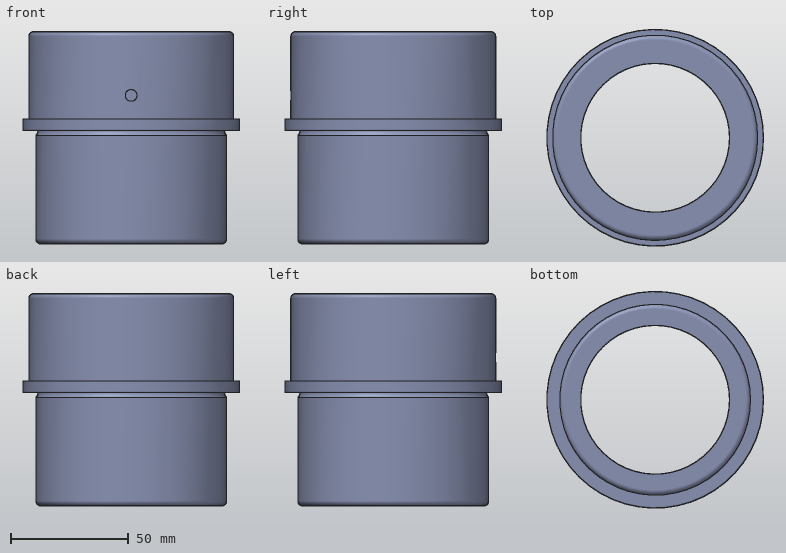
import cadquery as cq

height = 90.0
bore_diameter = 63.0
flange_diameter = 92.0
upper_diameter = 87.0
lower_diameter = 80.9

flange_bottom = 48.0
flange_thickness = 5.1
flange_top = flange_bottom + flange_thickness
flange_edge_radius = 0.5

top_edge_radius = 2.0
lower_edge_radius = 2.0

neck_height = 2.0
neck_depth = 0.8
neck_arc_radius = (neck_height**2 + neck_depth**2) / (2 * neck_depth)

hole_diameter = 5.0
hole_height = 63.0
hole_depth = 4.6


def cylinder(diameter, bottom, top):
    return cq.Workplane("XY").workplane(offset=bottom).circle(diameter / 2).extrude(top - bottom)


def make_lower_sleeve():
    radius = lower_diameter / 2
    neck_radius = radius - neck_depth
    profile = (
        cq.Workplane("XZ")
        .lineTo(radius, 0)
        .lineTo(radius, flange_bottom - neck_height)
        .radiusArc((neck_radius, flange_bottom), neck_arc_radius)
        .lineTo(0, flange_bottom)
        .close()
    )
    sleeve = profile.revolve(360, (0, 0, 0), (0, 1, 0))
    return sleeve.faces("<Z").edges().fillet(lower_edge_radius)


def make_flange():
    return cylinder(flange_diameter, flange_bottom, flange_top).edges().fillet(flange_edge_radius)


def make_upper_sleeve():
    return cylinder(upper_diameter, flange_top, height).faces(">Z").edges().fillet(top_edge_radius)


def make_radial_hole():
    return (
        cq.Workplane("XZ", origin=(0, -upper_diameter / 2, 0))
        .center(0, hole_height)
        .circle(hole_diameter / 2)
        .extrude(-hole_depth)
    )


body = make_lower_sleeve().union(make_flange()).union(make_upper_sleeve())
result = body.cut(cylinder(bore_diameter, 0, height)).cut(make_radial_hole())